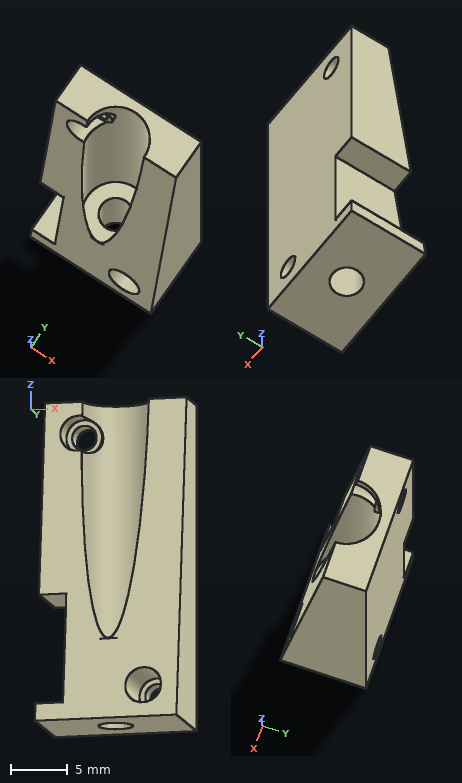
import cadquery as cq

width = 12.8
height = 29.2
base_depth = 8.0
top_depth = base_depth / 2

bore_x = width / 2
bore_y = -top_depth
bore_diameter = 6.0
bore_floor_z = 7.3
through_diameter = 3.0

screw_diameter = 2.2
head_diameter = 3.2
head_seat_depth = 2.01
screw_inset_x = 3.1
screw_inset_z = 2.9
screw_positions = [
    (screw_inset_x, height - screw_inset_z),
    (width - screw_inset_x, screw_inset_z),
]

notch_width = 2.48
notch_bottom_z = 1.6
notch_top_z = 11.6


def wedge():
    """Side profile in YZ, extruded along X."""
    profile = [(0, 0), (-base_depth, 0), (-top_depth, height), (0, height)]
    return cq.Workplane("YZ").polyline(profile).close().extrude(width)


def stepped_bore():
    """Wide bore down to its floor, with a narrow bore through the base."""
    wide = (
        cq.Workplane("XY", origin=(bore_x, bore_y, bore_floor_z))
        .circle(bore_diameter / 2)
        .extrude(height - bore_floor_z)
    )
    narrow = (
        cq.Workplane("XY", origin=(bore_x, bore_y, 0))
        .circle(through_diameter / 2)
        .extrude(height)
    )
    return wide.union(narrow)


def screw_hole(x, z):
    """Through hole from the back, with a head recess opening at the front."""
    shank = (
        cq.Workplane("XZ", origin=(x, 0, z))
        .circle(screw_diameter / 2)
        .extrude(base_depth)
    )
    head = (
        cq.Workplane("XZ", origin=(x, -head_seat_depth, z))
        .circle(head_diameter / 2)
        .extrude(base_depth - head_seat_depth)
    )
    return shank.union(head)


def head_seat(x, z):
    """Round pad under a screw head, standing into the bore where they overlap."""
    return (
        cq.Workplane("XZ", origin=(x, 0, z))
        .circle(head_diameter / 2)
        .extrude(head_seat_depth)
    )


def side_notch():
    """Rectangular notch through the full depth of the wedge."""
    return cq.Workplane("XY", origin=(0, -base_depth, notch_bottom_z)).box(
        notch_width, base_depth, notch_top_z - notch_bottom_z, centered=False
    )


result = wedge().cut(stepped_bore()).cut(side_notch())
for hole_x, hole_z in screw_positions:
    result = result.union(head_seat(hole_x, hole_z)).cut(screw_hole(hole_x, hole_z))